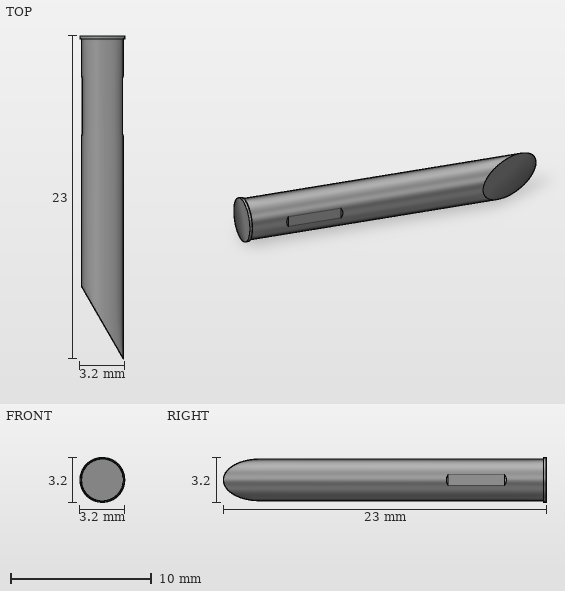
import cadquery as cq
import math

total_length = 23.0
body_diameter = 3.0
flange_diameter = 3.2
flange_thickness = 0.2

tip_angle = 30.0

flat_width = 0.75
flat_length = 4.0
flat_start = 3.0
flat_end_run = 0.14

body_radius = body_diameter / 2
flat_distance = math.sqrt(body_radius**2 - (flat_width / 2) ** 2)


def cylinder_along_pin(diameter, length):
    """Cylinder running from the flanged end toward the tip."""
    return cq.Workplane("XZ").circle(diameter / 2).extrude(length)


def tip_cutter():
    """Wedge that leaves the sharp point at the +X side of the body."""
    slant_length = body_diameter / math.tan(math.radians(tip_angle))
    return (
        cq.Workplane("XY")
        .moveTo(body_radius, -total_length)
        .lineTo(-body_radius, -total_length + slant_length)
        .lineTo(-body_radius, -total_length)
        .close()
        .extrude(body_radius, both=True)
    )


def flat_cutter(side):
    """Trapezoid prism for the flat on the +X (side = 1) or -X (side = -1) side."""
    near_end = -flat_start
    far_end = near_end - flat_length
    outer_x = side * body_radius
    inner_x = side * flat_distance
    return (
        cq.Workplane("XY")
        .moveTo(outer_x, near_end + flat_end_run)
        .lineTo(inner_x, near_end)
        .lineTo(inner_x, far_end)
        .lineTo(outer_x, far_end - flat_end_run)
        .close()
        .extrude(body_radius, both=True)
    )


body = cylinder_along_pin(body_diameter, total_length)
body = body.cut(tip_cutter())
for side in (-1, 1):
    body = body.cut(flat_cutter(side))

flange = cylinder_along_pin(flange_diameter, flange_thickness)

result = body.union(flange)